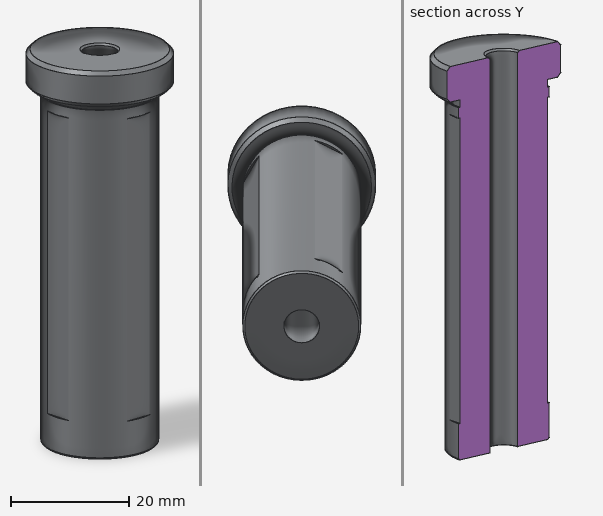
import cadquery as cq

total_length = 69.85
head_diameter = 25.0
head_height = 6.35
head_chamfer = 0.7

shank_diameter = 20.0
shank_chamfer = 0.35
neck_diameter = 19.3
neck_height = 1.25

flat_count = 4
flat_distance = 9.65
flat_bottom = 6.5
flat_top = 60.35

bore_diameter = 6.0
bore_chamfer = 0.35

head_bottom = total_length - head_height
neck_bottom = head_bottom - neck_height


def cylinder(diameter, bottom, top):
    """Cylinder on the Z axis between two heights."""
    return cq.Workplane("XY").workplane(offset=bottom).circle(diameter / 2).extrude(top - bottom)


def flat_cutter(angle):
    """Block that removes the shank outside one flat."""
    block = cq.Workplane("XY").box(
        shank_diameter, shank_diameter, flat_top - flat_bottom, centered=(False, True, False)
    )
    return block.translate((flat_distance, 0, flat_bottom)).rotate((0, 0, 0), (0, 0, 1), angle)


shank = cylinder(shank_diameter, 0, neck_bottom).faces("<Z").edges().chamfer(shank_chamfer)
for index in range(flat_count):
    shank = shank.cut(flat_cutter(index * 360 / flat_count))

neck = cylinder(neck_diameter, neck_bottom, head_bottom)
head = cylinder(head_diameter, head_bottom, total_length).edges("%CIRCLE").chamfer(head_chamfer)
body = shank.union(neck).union(head)

bore = cylinder(bore_diameter, 0, total_length)
result = body.cut(bore)
result = result.faces(">Z").edges(cq.selectors.RadiusNthSelector(0)).chamfer(bore_chamfer)